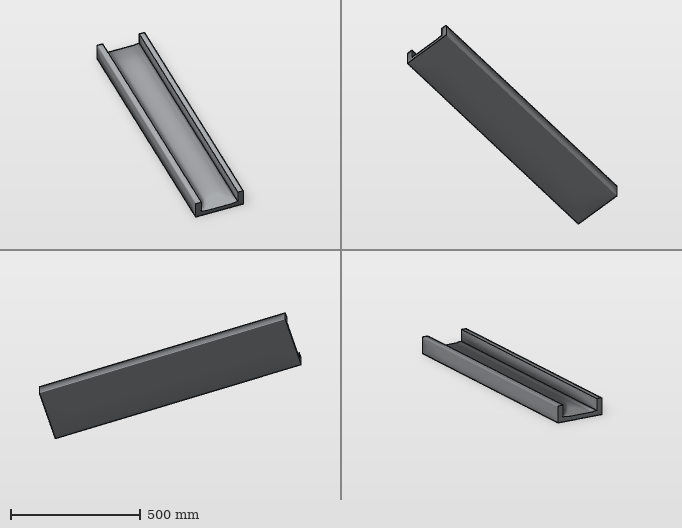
import cadquery as cq

length = 1000.0
width = 201.0
height = 69.0

wall_thickness = 24.0
top_radius = 5.0
bottom_radius = 2.0
floor_thickness = 18.0
ledge_rise = 2.7
ledge_width = 11.0
ramp_width = 10.0

ledge_thickness = floor_thickness + ledge_rise
half_width = width / 2
wall_inner = half_width - wall_thickness
ledge_inner = wall_inner - ledge_width
floor_half_width = ledge_inner - ramp_width

half_section = (
    cq.Workplane("YZ")
    .lineTo(half_width - bottom_radius, 0)
    .radiusArc((half_width, bottom_radius), -bottom_radius)
    .lineTo(half_width, height - top_radius)
    .radiusArc((half_width - top_radius, height), -top_radius)
    .lineTo(wall_inner, height)
    .lineTo(wall_inner, ledge_thickness)
    .lineTo(ledge_inner, ledge_thickness)
    .lineTo(floor_half_width, floor_thickness)
    .lineTo(0, floor_thickness)
)

result = half_section.mirrorY().extrude(length / 2, both=True)